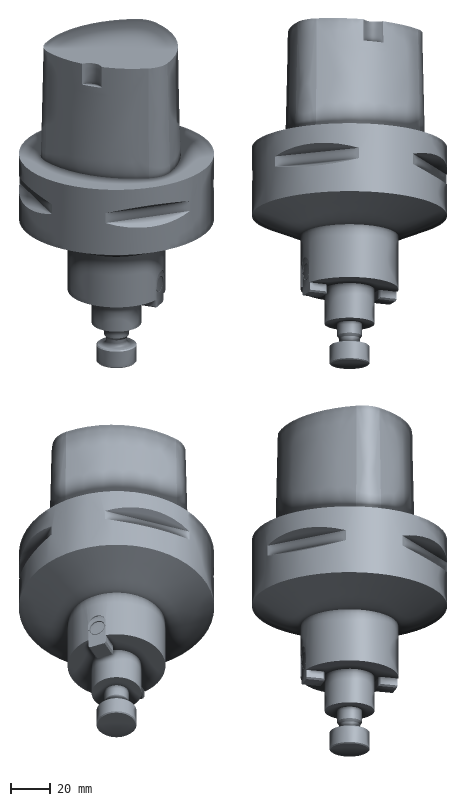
import cadquery as cq
import math

total_length = 174.5
taper_length = 60.0
flange_diameter = 100.0
flange_height = 36.0
cone_height = 11.0
pilot_diameter = 50.0
pilot_height = 28.0
spigot_diameter = 25.5
spigot_height = 18.3

flange_radius = flange_diameter / 2
pilot_radius = pilot_diameter / 2
spigot_radius = spigot_diameter / 2
flange_bottom = -flange_height
pilot_top = flange_bottom - cone_height
pilot_bottom = pilot_top - pilot_height
spigot_bottom = pilot_bottom - spigot_height
screw_bottom = taper_length - total_length

lobe_reach = 39.0
flank_reach = 32.8
flank_radius = 54.1
taper_inset = 1.4

groove_radius = 12.7 / 2
groove_center_y = -34.5
groove_depth = 11.3

notch_count = 4
notch_floor_distance = 44.3
notch_floor_height = 5.4
notch_center_z = -15.7
notch_side_angle = 30

key_width = 10.0
key_inner_x = 14.3
key_outer_x = 24.0
key_top = pilot_bottom + 6.8
key_bottom = pilot_bottom - 4.7
key_chamfer = 0.9
key_slot_floor_x = 24.5
key_slot_arc_rise = 2.5
screw_hole_diameter = 8.5
key_screw_diameter = 7.9
key_screw_gap_depth = 0.9

shank_radius = 12.7 / 2
shank_height = 6.3
neck_radius = 10.8 / 2
neck_cone_height = 1.4
head_radius = 20.6 / 2
head_height = 9.8
head_chamfer = 0.5
neck_fillet = 2.1


def polar(distance, angle):
    """Point at the given distance from the Z axis, at an angle in degrees from +X."""
    radians = math.radians(angle)
    return cq.Vector(distance * math.cos(radians), distance * math.sin(radians))


def lobed_outline(inset, z):
    """Six tangent arcs: three flanks and three lobes, moved inward by inset."""
    flank_offset = flank_radius - flank_reach
    lobe_radius = (
        (flank_radius**2 - flank_offset**2 - lobe_reach**2 - flank_offset * lobe_reach)
        / (2 * flank_radius - 2 * lobe_reach - flank_offset)
    )
    lobe_center_distance = lobe_reach - lobe_radius

    def joint(flank_angle, lobe_angle):
        flank_center = polar(-flank_offset, flank_angle)
        direction = (polar(lobe_center_distance, lobe_angle) - flank_center).normalized()
        return flank_center + direction * (flank_radius - inset)

    outline = cq.Workplane("XY").workplane(offset=z)
    outline = outline.moveTo(*joint(-90, -150).toTuple()[:2])
    for flank_angle in (-90, 30, 150):
        lobe_angle = flank_angle + 60
        flank_middle = polar(flank_reach - inset, flank_angle)
        flank_end = joint(flank_angle, lobe_angle)
        lobe_tip = polar(lobe_reach - inset, lobe_angle)
        lobe_end = joint(flank_angle + 120, lobe_angle)
        outline = outline.threePointArc(flank_middle.toTuple()[:2], flank_end.toTuple()[:2])
        outline = outline.threePointArc(lobe_tip.toTuple()[:2], lobe_end.toTuple()[:2])
    return outline.close().wire().val()


def make_taper():
    outlines = [lobed_outline(0, 0), lobed_outline(taper_inset, taper_length)]
    taper = cq.Workplane(cq.Solid.makeLoft(outlines, True))
    groove = (
        cq.Workplane("XY")
        .workplane(offset=taper_length - groove_depth)
        .center(0, groove_center_y)
        .circle(groove_radius)
        .extrude(groove_depth)
    )
    return taper.cut(groove)


def make_body():
    """Flange, cone, pilot, spigot and clamping screw in one revolution."""
    shank_bottom = spigot_bottom - shank_height
    neck_top = shank_bottom - neck_cone_height
    head_top = screw_bottom + head_height
    arc_center_radius = neck_radius + neck_fillet
    arc_center_z = head_top + neck_fillet
    arc_reach = neck_fillet * math.sqrt(0.5)
    return (
        cq.Workplane("XZ")
        .moveTo(0, 0)
        .lineTo(flange_radius, 0)
        .lineTo(flange_radius, flange_bottom)
        .lineTo(pilot_radius, pilot_top)
        .lineTo(pilot_radius, pilot_bottom)
        .lineTo(spigot_radius, pilot_bottom)
        .lineTo(spigot_radius, spigot_bottom)
        .lineTo(shank_radius, spigot_bottom)
        .lineTo(shank_radius, shank_bottom)
        .lineTo(neck_radius, neck_top)
        .lineTo(neck_radius, arc_center_z)
        .threePointArc(
            (arc_center_radius - arc_reach, arc_center_z - arc_reach),
            (arc_center_radius, head_top),
        )
        .lineTo(head_radius - head_chamfer, head_top)
        .lineTo(head_radius, head_top - head_chamfer)
        .lineTo(head_radius, screw_bottom + head_chamfer)
        .lineTo(head_radius - head_chamfer, screw_bottom)
        .lineTo(0, screw_bottom)
        .close()
        .revolve(360, (0, 0, 0), (0, 1, 0))
    )


def make_notch():
    """Cutter for a flat-floored notch that widens outward on the +X side."""
    depth = flange_radius - notch_floor_distance
    floor_half = notch_floor_height / 2
    mouth_half = floor_half + depth * math.tan(math.radians(notch_side_angle))
    return (
        cq.Workplane("XZ")
        .moveTo(notch_floor_distance, notch_center_z - floor_half)
        .lineTo(flange_radius, notch_center_z - mouth_half)
        .lineTo(flange_radius, notch_center_z + mouth_half)
        .lineTo(notch_floor_distance, notch_center_z + floor_half)
        .close()
        .extrude(flange_radius, both=True)
    )


def x_cylinder(diameter, z, start_x, end_x):
    return (
        cq.Workplane("YZ")
        .workplane(offset=start_x)
        .center(0, z)
        .circle(diameter / 2)
        .extrude(end_x - start_x)
    )


def make_key_slot():
    """Cutter for the shallow round-topped flat behind the +X key."""
    arc_center_z = key_top + key_slot_arc_rise
    height = arc_center_z - pilot_bottom
    flat = (
        cq.Workplane("XY")
        .box(pilot_radius - key_slot_floor_x, key_width, height, centered=(False, True, False))
        .translate((key_slot_floor_x, 0, pilot_bottom))
    )
    return flat.union(x_cylinder(key_width, arc_center_z, key_slot_floor_x, pilot_radius))


def make_key():
    """Drive key on the +X side with beveled lower and inner edges."""
    return (
        cq.Workplane("XY")
        .box(key_outer_x - key_inner_x, key_width, key_top - key_bottom, centered=(False, True, False))
        .translate((key_inner_x, 0, key_bottom))
        .edges("(<Z and |X) or (<X and |Z)")
        .chamfer(key_chamfer)
    )


def make_key_recess():
    """Cutter that exposes the key face and leaves a ring around its screw."""
    exposed_face = (
        cq.Workplane("XY")
        .box(pilot_radius - key_outer_x, key_width, key_top - pilot_bottom, centered=(False, True, False))
        .translate((key_outer_x, 0, pilot_bottom))
    )
    gap_floor_x = key_outer_x - key_screw_gap_depth
    hole = x_cylinder(screw_hole_diameter, key_top, gap_floor_x, pilot_radius)
    screw = x_cylinder(key_screw_diameter, key_top, gap_floor_x, key_outer_x)
    return exposed_face.union(hole).cut(screw)


body = make_body().union(make_taper())

for index in range(notch_count):
    notch_angle = 45 + index * 360 / notch_count
    body = body.cut(make_notch().rotate((0, 0, 0), (0, 0, 1), notch_angle))

for key_angle in (0, 180):
    axis = ((0, 0, 0), (0, 0, 1), key_angle)
    body = body.cut(make_key_slot().rotate(*axis))
    body = body.union(make_key().rotate(*axis))
    body = body.cut(make_key_recess().rotate(*axis))

result = body